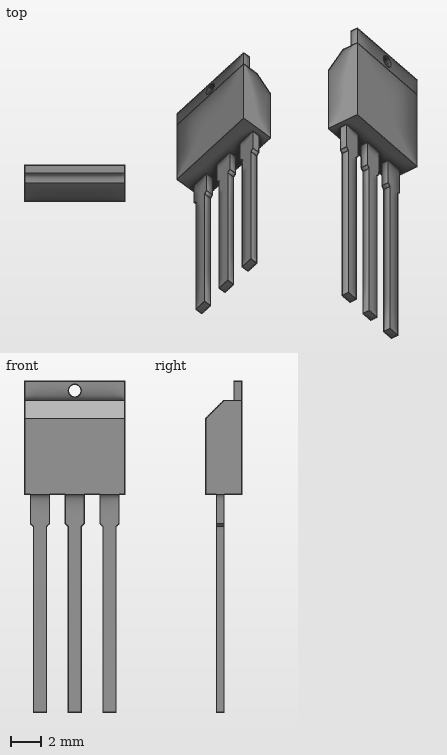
import cadquery as cq

total_height = 21.75
package_width = 6.6
housing_depth = 2.37

tab_height = 1.26
tab_thickness = 0.52
hole_diameter = 0.83
hole_below_top = tab_height / 2

package_height = 7.44
chamfer_size = 1.2
housing_bottom = total_height - package_height
housing_top = total_height - tab_height

lead_count = 3
lead_pitch = 2.28
lead_thickness = 0.52
lead_back_offset = 1.15
shoulder_width = 1.26
shoulder_length = 1.91
taper_length = 0.2
taper_inset = taper_length
pin_width = shoulder_width - 2 * taper_inset


def box_from_back(width, thickness, bottom, top):
    """Block centred on X that runs forward (-Y) from the back face at Y = 0."""
    return (
        cq.Workplane("XY", origin=(0, 0, bottom))
        .rect(width, thickness)
        .extrude(top - bottom)
        .translate((0, -thickness / 2, 0))
    )


def make_housing():
    """Moulded block with its upper front edge chamfered."""
    block = box_from_back(package_width, housing_depth, housing_bottom, housing_top)
    return block.faces("<Y").edges(">Z").chamfer(chamfer_size)


def make_tab():
    """Flat plate standing on the back of the housing, with a mounting hole through it."""
    plate = box_from_back(package_width, tab_thickness, housing_top, total_height)
    hole = (
        cq.Workplane("XZ", origin=(0, 0, total_height - hole_below_top))
        .circle(hole_diameter / 2)
        .extrude(tab_thickness)
    )
    return plate.cut(hole)


def make_lead(center_x):
    """Flat lead with a wide shoulder that tapers to a narrow pin."""
    shoulder_bottom = housing_bottom - shoulder_length
    pin_top = shoulder_bottom - taper_length
    return (
        cq.Workplane("XZ", origin=(center_x, -lead_back_offset, 0))
        .moveTo(-shoulder_width / 2, housing_bottom)
        .lineTo(shoulder_width / 2, housing_bottom)
        .lineTo(shoulder_width / 2, shoulder_bottom)
        .lineTo(pin_width / 2, pin_top)
        .lineTo(pin_width / 2, 0)
        .lineTo(-pin_width / 2, 0)
        .lineTo(-pin_width / 2, pin_top)
        .lineTo(-shoulder_width / 2, shoulder_bottom)
        .close()
        .extrude(lead_thickness)
    )


housing = make_housing()
tab = make_tab()
leads = [make_lead((index - (lead_count - 1) / 2) * lead_pitch) for index in range(lead_count)]

result = cq.Compound.makeCompound([housing.val(), tab.val(), *[lead.val() for lead in leads]])